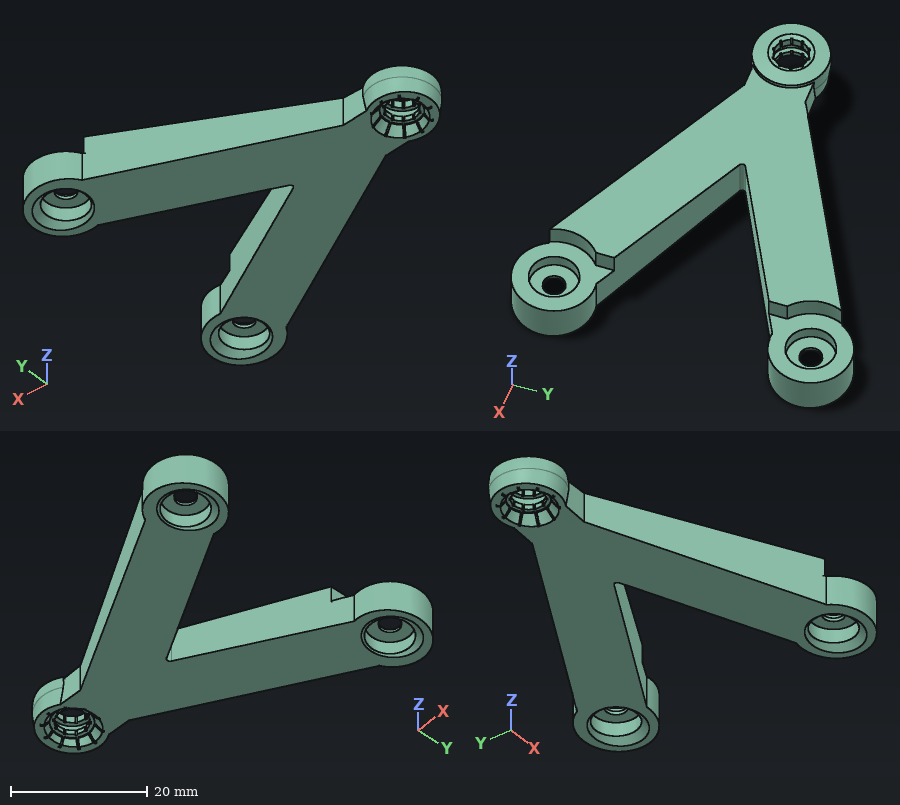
import cadquery as cq
import math


hub_radius = 5.93
hub_rim_radius = 5.8
hub_rim_z = 0.5
hub_crown_z = 0.9
hub_bulge_z = -0.8
hub_belt_radius = 5.89
hub_belt_z = -1.7
hub_skirt_radius = 5.5
hub_skirt_z = -5.0

bore_radius = 2.62
bore_mouth_radius = 3.43
bore_mouth_depth = 0.32
groove_count = 10
groove_width = 0.3
groove_depth = 0.22
chamber_radius = 3.4
chamber_top_z = -0.75
chamber_floor_z = -2.35
socket_radius = 3.3
socket_ceiling_z = -3.2
socket_flare_z = -3.4
socket_mouth_radius = 4.3
socket_mouth_z = -4.6
socket_groove_radius = 4.7

pad_x = 47.95
pad_y = 20.0
pad_radius = 6.35
pad_clearance_radius = 6.5
pad_top_z = -3.05
counterbore_diameter = 7.5
counterbore_depth = 2.0
pad_web_thickness = 0.6
pad_recess_radius = counterbore_diameter / 2
pad_recess_flare_z = -8.05
pad_recess_mouth_radius = 4.5
pad_recess_mouth_z = -8.6
screw_hole_diameter = 3.4

arm_width = 10.4
arm_slope = 0.518
arm_end_x = pad_x - 0.7
arm_shoulder_x = pad_x - 5.7
arm_top_end_x = pad_x - 4.05
neck_half_width = 4.77
crotch_fillet_radius = 0.5

tip_x = pad_x + pad_radius
tip_z = -9.15
underside_slope = 0.084

margin = 5.0
floor_z = tip_z - margin
sides = (1, -1)


def cylinder(x, y, radius, bottom_z, top_z):
    """Upright cylinder between two heights."""
    return cq.Workplane("XY", origin=(x, y, bottom_z)).circle(radius).extrude(top_z - bottom_z)


def flared_recess(radius, ceiling_z, flare_z, mouth_radius, mouth_z):
    """Round recess, straight down to flare_z and then opening out to below the part."""
    flare = (mouth_radius - radius) / (flare_z - mouth_z)
    floor_radius = radius + flare * (flare_z - floor_z)
    return (
        cq.Workplane("XZ")
        .moveTo(0, ceiling_z)
        .lineTo(radius, ceiling_z)
        .lineTo(radius, flare_z)
        .lineTo(floor_radius, floor_z)
        .lineTo(0, floor_z)
        .close()
        .revolve(360, (0, 0, 0), (0, 1, 0))
    )


def make_arms():
    """V-shaped plate: two straight arms leaving a parallel-sided neck."""
    half_rise = arm_width / 2 * math.hypot(1, arm_slope)
    crotch_x = pad_x - (pad_y - half_rise) / arm_slope
    neck_end_x = pad_x - (pad_y + half_rise - neck_half_width) / arm_slope
    end_inner_y = (arm_end_x - crotch_x) * arm_slope
    shoulder_y = pad_y + half_rise - (pad_x - arm_shoulder_x) * arm_slope
    half_outline = [
        (neck_end_x, neck_half_width),
        (arm_shoulder_x, shoulder_y),
        (pad_x, pad_y),
        (arm_end_x, end_inner_y),
    ]
    mirrored = [(x, -y) for x, y in reversed(half_outline)]
    outline = [(0, neck_half_width)] + half_outline + [(crotch_x, 0)] + mirrored + [(0, -neck_half_width)]
    plate = cq.Workplane("XY", origin=(0, 0, floor_z)).polyline(outline).close().extrude(-floor_z)
    crotch = cq.selectors.NearestToPointSelector((crotch_x, 0, floor_z / 2))
    return plate.edges(crotch).fillet(crotch_fillet_radius)


def clear_pad_tops(body):
    """Cut the arms down to pad height around each pad and past the arm ends."""
    length = tip_x - arm_top_end_x
    width = 2 * (pad_y + pad_clearance_radius)
    past_ends = cq.Workplane("XY").box(length, width, -pad_top_z, centered=(False, True, False))
    body = body.cut(past_ends.translate((arm_top_end_x, 0, pad_top_z)))
    for side in sides:
        body = body.cut(cylinder(pad_x, side * pad_y, pad_clearance_radius, pad_top_z, 0))
    return body


def add_pads(body):
    """Join a round pad to the end of each arm."""
    for side in sides:
        body = body.union(cylinder(pad_x, side * pad_y, pad_radius, floor_z, pad_top_z))
    return body


def drill_pads(body):
    """Screw hole through each pad, counterbored from above and recessed from below."""
    web_top_z = pad_top_z - counterbore_depth
    web_bottom_z = web_top_z - pad_web_thickness
    recess = flared_recess(
        pad_recess_radius,
        web_bottom_z,
        pad_recess_flare_z,
        pad_recess_mouth_radius,
        pad_recess_mouth_z,
    )
    for side in sides:
        y = side * pad_y
        body = body.cut(cylinder(pad_x, y, counterbore_diameter / 2, web_top_z, pad_top_z))
        body = body.cut(cylinder(pad_x, y, screw_hole_diameter / 2, web_bottom_z, web_top_z))
        body = body.cut(recess.translate((pad_x, y, 0)))
    return body


def make_hub():
    """Turned hub, solid down to the skirt."""
    return (
        cq.Workplane("XZ")
        .moveTo(0, hub_crown_z)
        .lineTo(bore_mouth_radius, hub_crown_z)
        .lineTo(hub_rim_radius, hub_rim_z)
        .threePointArc((hub_radius, hub_bulge_z), (hub_belt_radius, hub_belt_z))
        .lineTo(hub_skirt_radius, hub_skirt_z)
        .lineTo(0, hub_skirt_z)
        .close()
        .revolve(360, (0, 0, 0), (0, 1, 0))
    )


def grooves(tip_radius, bottom_z, top_z):
    """Evenly spaced axial slots reaching out from the hub axis to the tip radius."""
    step = 360 / groove_count
    slots = cq.Workplane("XY")
    for i in range(groove_count):
        slot = (
            cq.Workplane("XY", origin=(tip_radius / 2, 0, bottom_z))
            .rect(tip_radius, groove_width)
            .extrude(top_z - bottom_z)
        )
        slots = slots.union(slot.rotate((0, 0, 0), (0, 0, 1), (i + 0.5) * step))
    return slots


def bore_hub(body):
    """Grooved bore with a conical mouth, an inner chamber and a grooved socket below."""
    mouth = (
        cq.Workplane("XZ")
        .moveTo(0, hub_crown_z)
        .lineTo(bore_mouth_radius, hub_crown_z)
        .lineTo(bore_radius, hub_crown_z - bore_mouth_depth)
        .lineTo(0, hub_crown_z - bore_mouth_depth)
        .close()
        .revolve(360, (0, 0, 0), (0, 1, 0))
    )
    body = body.cut(mouth)
    body = body.cut(cylinder(0, 0, bore_radius, floor_z, hub_crown_z))
    body = body.cut(grooves(bore_radius + groove_depth, floor_z, hub_crown_z))
    body = body.cut(cylinder(0, 0, chamber_radius, chamber_floor_z, chamber_top_z))
    socket = flared_recess(
        socket_radius,
        socket_ceiling_z,
        socket_flare_z,
        socket_mouth_radius,
        socket_mouth_z,
    )
    body = body.cut(socket)
    return body.cut(grooves(socket_groove_radius, floor_z, socket_ceiling_z))


def trim_underside(body):
    """Cut everything below the sloping underside."""
    start_x = -hub_radius - margin
    end_x = tip_x + margin
    waste = (
        cq.Workplane("XZ")
        .moveTo(start_x, tip_z + (tip_x - start_x) * underside_slope)
        .lineTo(end_x, tip_z + (tip_x - end_x) * underside_slope)
        .lineTo(end_x, floor_z - margin)
        .lineTo(start_x, floor_z - margin)
        .close()
        .extrude(tip_x, both=True)
    )
    return body.cut(waste)


arms = add_pads(clear_pad_tops(make_arms()))
body = arms.union(make_hub())
body = drill_pads(bore_hub(body))
result = trim_underside(body)